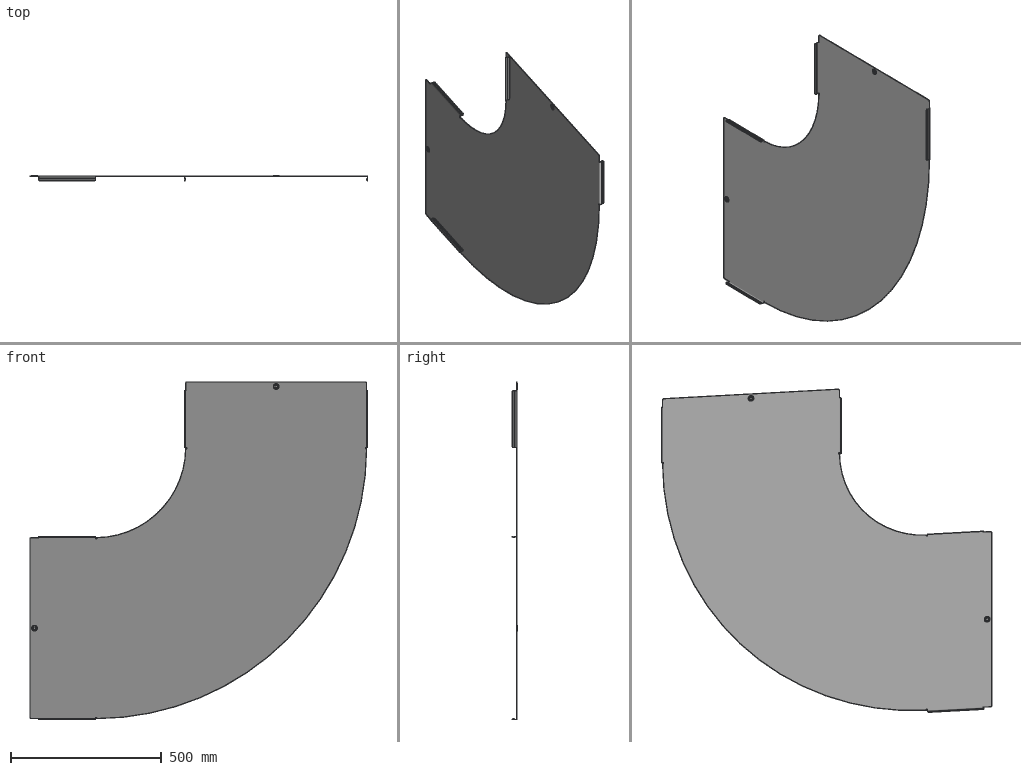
import cadquery as cq
import math

overall_length = 1120.0
overall_depth = 18.0

sheet = 1.5
channel_width = 600.0
inner_radius = 298.0
corner_radius = 6.0

flange_overhang = 3.0
flange_start = 29.0
flange_end = 218.0
flange_tip_chamfer = 3.0
bend_radius = 2.0
groove_start = 9.0
groove_end = 13.0

relief_width = 3.0
relief_depth = 3.0

button_diameter = 19.0
button_height = 1.3
button_recess = 17.0
button_pin = 9.0
button_inset = 16.0

outer_edge = overall_length - flange_overhang
inner_edge = outer_edge - channel_width
centerline = outer_edge - channel_width / 2
outer_radius = inner_radius + channel_width
bend_center = inner_edge - inner_radius
groove_depth = (groove_end - groove_start) / 2
flange_height = overall_depth - button_height
diagonal = math.sqrt(0.5)


def elbow_sheet():
    """Flat elbow with its back on Y = 0 and rounded corners at both open ends."""
    top = overall_length

    def arc_middle(radius):
        return (bend_center + radius * diagonal, top - bend_center - radius * diagonal)

    return (
        cq.Workplane("XZ")
        .moveTo(0, top - inner_edge)
        .lineTo(bend_center, top - inner_edge)
        .threePointArc(arc_middle(inner_radius), (inner_edge, top - bend_center))
        .lineTo(inner_edge, top)
        .lineTo(outer_edge, top)
        .lineTo(outer_edge, top - bend_center)
        .threePointArc(arc_middle(outer_radius), (bend_center, top - outer_edge))
        .lineTo(0, top - outer_edge)
        .close()
        .extrude(sheet)
        .edges("|Y and (<X or >Z)")
        .fillet(corner_radius)
    )


def flange(edge, outward):
    """Strip bent to -Y along one side of the top end; outward is the X sign away from the sheet."""
    root = bend_radius + sheet
    inner_bend = bend_radius - sheet
    groove_middle = (groove_start + groove_end) / 2

    def point(inset, depth):
        """Profile point measured inward from the outer flange face and to -Y from the sheet back."""
        return (edge + outward * (flange_overhang - inset), -depth)

    def bend_middle(radius):
        return point(bend_radius - radius * diagonal, bend_radius - radius * diagonal)

    return (
        cq.Workplane("XY", origin=(0, 0, overall_length - flange_end))
        .moveTo(*point(root, 0))
        .lineTo(*point(bend_radius, 0))
        .threePointArc(bend_middle(bend_radius), point(0, bend_radius))
        .lineTo(*point(0, groove_start))
        .threePointArc(point(groove_depth, groove_middle), point(0, groove_end))
        .lineTo(*point(0, flange_height))
        .lineTo(*point(sheet, flange_height))
        .lineTo(*point(sheet, groove_end + sheet))
        .threePointArc(point(groove_depth + sheet, groove_middle), point(sheet, groove_start - sheet))
        .lineTo(*point(sheet, bend_radius))
        .threePointArc(bend_middle(inner_bend), point(bend_radius, sheet))
        .lineTo(*point(root, sheet))
        .close()
        .extrude(flange_end - flange_start)
        .faces("<Y")
        .edges("|X")
        .chamfer(flange_tip_chamfer)
    )


def relief(edge):
    """Notch cutter across one sheet edge, just past the flange that ends there."""
    return (
        cq.Workplane("XZ", origin=(edge, 0, overall_length - flange_end - relief_width / 2))
        .rect(2 * relief_depth, relief_width)
        .extrude(sheet)
    )


def end_disc(diameter, back, thickness):
    """Disc at the fastener position of the top end, reaching from its back face toward -Y."""
    return (
        cq.Workplane("XZ", origin=(centerline, back, overall_length - button_inset))
        .circle(diameter / 2)
        .extrude(thickness)
    )


def button():
    """Button head raised behind the sheet."""
    return end_disc(button_diameter, button_height, button_height)


def button_clearance():
    """Ring-shaped opening through the sheet that leaves the button's pin standing."""
    return end_disc(button_recess, 0, sheet).cut(end_disc(button_pin, 0, sheet))


def to_left_end(feature):
    """Reflect a feature of the top end across the elbow diagonal onto the left end."""
    middle = overall_length / 2
    mirrored = feature.mirror("YZ", (middle, 0, 0))
    return mirrored.rotate((middle, 0, middle), (middle, 1, middle), -90)


result = elbow_sheet()
for added in (flange(inner_edge, -1), flange(outer_edge, 1), button()):
    result = result.union(added).union(to_left_end(added))
for removed in (relief(inner_edge), relief(outer_edge), button_clearance()):
    result = result.cut(removed).cut(to_left_end(removed))